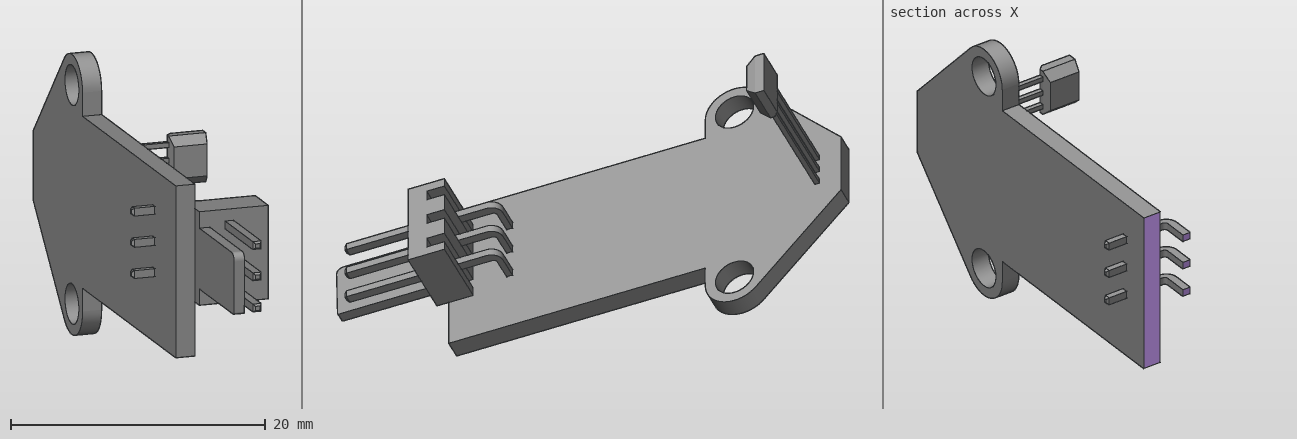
import cadquery as cq
import math


board_thickness = 1.6
board_length = 33.5
board_half_width = 7.0
nose_half_width = 2.85
ear_x = 9.1
ear_z = 8.9
ear_radius = 2.5
ear_hole_diameter = 3.25

pin_count = 3
pin_pitch = 2.54
pin_width = 0.64
pin_row_height = 0.7
pin_leg_thickness = 0.5
pin_leg_x = 28.3
pin_row_y = 2.5
pin_end_x = 41.2
pin_end_y = -3.48
pin_bend_radius = 1.0
pin_tip_length = 0.2
pin_tip_inset = 0.15

header_z = 1.2
header_start_x = 31.4
header_length = 3.1
header_height = 5.75
header_width = pin_count * pin_pitch
slot_width = 0.92
slot_depth = 1.5

tab_end_x = 42.71
tab_thickness = 0.88
tab_width = 4.95
tab_end_slant = 0.09
tab_upper_radius = 0.6
tab_lower_radius = 0.15

sensor_left_x = 1.45
sensor_mid_x = 2.2
sensor_right_x = 3.0
sensor_top_y = 12.0
sensor_height = 3.1
sensor_width = 4.0
sensor_bevel_x = 0.37
sensor_bevel_y = 0.42
sensor_taper_y = 0.17
sensor_taper_z = 0.7
lead_count = 3
lead_pitch = 1.27
lead_size = 0.4
lead_x = 2.03


def centered_row(count, pitch):
    return [(i - (count - 1) / 2) * pitch for i in range(count)]


pin_positions = [header_z + offset for offset in centered_row(pin_count, pin_pitch)]
header_end_x = header_start_x + header_length


def box(x_range, y_range, z_center, z_width):
    """Box between two X values and two Y values, centred on z_center."""
    x_size = x_range[1] - x_range[0]
    y_size = y_range[1] - y_range[0]
    corner = (x_range[0], y_range[0], z_center - z_width / 2)
    return cq.Workplane("XY").box(x_size, y_size, z_width, centered=False).translate(corner)


def make_board():
    rise = ear_z - nose_half_width
    edge_angle = math.atan2(rise, ear_x) + math.asin(ear_radius / math.hypot(ear_x, rise))
    tangent_x = ear_x - ear_radius * math.sin(edge_angle)
    tangent_z = ear_z + ear_radius * math.cos(edge_angle)
    ear_right_x = ear_x + ear_radius
    middle_angle = (edge_angle + math.pi / 2) / 2
    arc_x = ear_x + ear_radius * math.cos(middle_angle)
    arc_z = ear_z + ear_radius * math.sin(middle_angle)

    board = (
        cq.Workplane("XZ")
        .moveTo(0, -nose_half_width)
        .lineTo(0, nose_half_width)
        .lineTo(tangent_x, tangent_z)
        .threePointArc((arc_x, arc_z), (ear_right_x, ear_z))
        .lineTo(ear_right_x, board_half_width)
        .lineTo(board_length, board_half_width)
        .lineTo(board_length, -board_half_width)
        .lineTo(ear_right_x, -board_half_width)
        .lineTo(ear_right_x, -ear_z)
        .threePointArc((arc_x, -arc_z), (tangent_x, -tangent_z))
        .close()
        .extrude(board_thickness)
    )
    ear_holes = (
        cq.Workplane("XZ")
        .pushPoints([(ear_x, ear_z), (ear_x, -ear_z)])
        .circle(ear_hole_diameter / 2)
        .extrude(board_thickness)
    )
    board = board.cut(ear_holes)
    leg_left_x = pin_leg_x - pin_leg_thickness / 2
    for pin_z in pin_positions:
        leg_x_range = (leg_left_x, leg_left_x + pin_leg_thickness)
        board = board.cut(box(leg_x_range, (-board_thickness, 0), pin_z, pin_width))
    return board


def make_pin_tip(face, width, depth):
    """Pyramid frustum on the end face of a pin leg."""
    return (
        face.rect(width, depth)
        .workplane(offset=pin_tip_length)
        .rect(width - 2 * pin_tip_inset, depth - 2 * pin_tip_inset)
        .loft()
    )


def make_pin(pin_z):
    left_x = pin_leg_x - pin_leg_thickness / 2
    right_x = left_x + pin_leg_thickness
    top_y = pin_row_y + pin_row_height / 2
    under_y = top_y - pin_row_height
    bend_x = left_x + pin_bend_radius
    bend_y = top_y - pin_bend_radius
    leg_end_y = pin_end_y + pin_tip_length
    row_end_x = pin_end_x - pin_tip_length
    inner_radius = under_y - bend_y

    pin = (
        cq.Workplane("XY", origin=(0, 0, pin_z - pin_width / 2))
        .moveTo(left_x, leg_end_y)
        .lineTo(left_x, bend_y)
        .radiusArc((bend_x, top_y), pin_bend_radius)
        .lineTo(row_end_x, top_y)
        .lineTo(row_end_x, under_y)
        .lineTo(right_x + inner_radius, under_y)
        .radiusArc((right_x, under_y - inner_radius), -inner_radius)
        .lineTo(right_x, leg_end_y)
        .close()
        .extrude(pin_width)
    )
    leg_face = cq.Workplane("XZ", origin=(pin_leg_x, leg_end_y, pin_z))
    row_face = cq.Workplane("YZ", origin=(row_end_x, pin_row_y, pin_z))
    leg_tip = make_pin_tip(leg_face, pin_leg_thickness, pin_width)
    row_tip = make_pin_tip(row_face, pin_row_height, pin_width)
    return pin.union(leg_tip).union(row_tip)


def make_tab():
    """Flat tab lying against the plane of the board, with a slightly slanted, rounded end."""
    upper_z = header_z + tab_width / 2
    lower_z = header_z - tab_width / 2
    tab = (
        cq.Workplane("XZ")
        .moveTo(header_end_x, lower_z)
        .lineTo(tab_end_x - tab_end_slant, lower_z)
        .lineTo(tab_end_x, upper_z)
        .lineTo(header_end_x, upper_z)
        .close()
        .extrude(-tab_thickness)
    )
    tab = tab.edges("|Y and >X and >Z").fillet(tab_upper_radius)
    return tab.edges("|Y and <Z").edges(">X").fillet(tab_lower_radius)


def make_header():
    header = box((header_start_x, header_end_x), (0, header_height), header_z, header_width)
    slot_x_range = (header_start_x, header_start_x + slot_depth)
    for pin_z in pin_positions:
        header = header.cut(box(slot_x_range, (0, header_height), pin_z, slot_width))
    header = header.union(make_tab())
    for pin_z in pin_positions:
        header = header.union(make_pin(pin_z))
    return header


def make_sensor():
    bottom_y = sensor_top_y - sensor_height
    middle_y = sensor_top_y - sensor_height / 2
    package = (
        cq.Workplane("XY", origin=(0, 0, -sensor_width / 2))
        .moveTo(sensor_left_x, sensor_top_y)
        .lineTo(sensor_mid_x, sensor_top_y)
        .lineTo(sensor_mid_x, bottom_y)
        .lineTo(sensor_left_x + sensor_bevel_x, bottom_y)
        .lineTo(sensor_left_x, bottom_y + sensor_bevel_y)
        .close()
        .extrude(sensor_width)
    )
    tapered_half = (
        cq.Workplane("YZ", origin=(sensor_mid_x, middle_y, 0))
        .rect(sensor_height, sensor_width)
        .workplane(offset=sensor_right_x - sensor_mid_x)
        .rect(sensor_height - 2 * sensor_taper_y, sensor_width - 2 * sensor_taper_z)
        .loft()
    )
    sensor = package.union(tapered_half)
    lead_x_range = (lead_x - lead_size / 2, lead_x + lead_size / 2)
    for lead_z in centered_row(lead_count, lead_pitch):
        sensor = sensor.union(box(lead_x_range, (0, bottom_y + sensor_bevel_y), lead_z, lead_size))
    return sensor


board = make_board()
header = make_header()
sensor = make_sensor()

result = cq.Compound.makeCompound([board.val(), header.val(), sensor.val()])